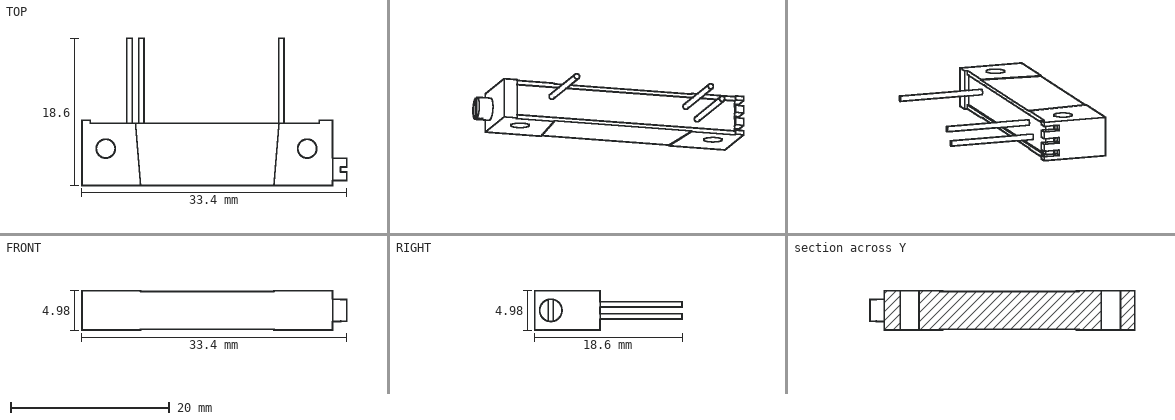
import cadquery as cq


BODY_LENGTH = 31.6
BODY_DEPTH = 7.85
BODY_THICKNESS = 4.98

WAIST_RELIEF = 0.09
WAIST_LEFT_FRONT = 7.4
WAIST_RIGHT_FRONT = 24.2
WAIST_FLARE = 0.65

FOOT_HEIGHT = 0.4
LEFT_FOOT_WIDTH = 1.05
RIGHT_FOOT_WIDTH = 1.7
FOOT_TOP = BODY_DEPTH + FOOT_HEIGHT

HOLE_DIAMETER = 2.35
HOLE_SPACING = 25.4
FIRST_HOLE_X = 3.0
HOLE_Y = 4.65

SLOT_COUNT = 3
SLOT_PITCH = 1.61
SLOT_HEIGHT = 0.7
SLOT_LENGTH = 2.05
NUB_LENGTH = 0.35
NUB_PROJECTION = 0.3
NUB_RADIUS = 0.22

RECESS_DEPTH = 0.2
RECESS_HEIGHT = (SLOT_COUNT - 1) * SLOT_PITCH + SLOT_HEIGHT

PIN_DIAMETER = 0.7
PIN_TIP = 18.57
PIN_OFFSET = 0.76
PIN_POSITIONS = [(6.0, -PIN_OFFSET), (7.5, PIN_OFFSET), (25.15, PIN_OFFSET)]

SCREW_DIAMETER = 2.82
SCREW_TIP = 33.4
SCREW_Y = 2.03
DRIVER_SLOT_WIDTH = 0.6
DRIVER_SLOT_DEPTH = 0.8


def box_between(x_range, y_range, height, z_middle=0):
    """Box spanning the given X and Y ranges, centred on z_middle."""
    x_min, x_max = x_range
    y_min, y_max = y_range
    box = cq.Workplane("XY").box(x_max - x_min, y_max - y_min, height, centered=(False, False, True))
    return box.translate((x_min, y_min, z_middle))


def make_body():
    """Side outline with the two feet, extruded to the full thickness."""
    return (
        cq.Workplane("XY")
        .moveTo(0, 0)
        .lineTo(BODY_LENGTH, 0)
        .lineTo(BODY_LENGTH, FOOT_TOP)
        .lineTo(BODY_LENGTH - RIGHT_FOOT_WIDTH, FOOT_TOP)
        .lineTo(BODY_LENGTH - RIGHT_FOOT_WIDTH, BODY_DEPTH)
        .lineTo(LEFT_FOOT_WIDTH, BODY_DEPTH)
        .lineTo(LEFT_FOOT_WIDTH, FOOT_TOP)
        .lineTo(0, FOOT_TOP)
        .close()
        .extrude(BODY_THICKNESS / 2, both=True)
    )


def make_waist_relief():
    """Thin slabs that lower the middle of both broad faces."""
    outline = [
        (WAIST_LEFT_FRONT, 0),
        (WAIST_RIGHT_FRONT, 0),
        (WAIST_RIGHT_FRONT + WAIST_FLARE, BODY_DEPTH),
        (WAIST_LEFT_FRONT - WAIST_FLARE, BODY_DEPTH),
    ]
    upper = (
        cq.Workplane("XY")
        .workplane(offset=BODY_THICKNESS / 2 - WAIST_RELIEF)
        .polyline(outline)
        .close()
        .extrude(WAIST_RELIEF)
    )
    return upper.union(upper.mirror("XY"))


def make_mounting_holes():
    """Two cylinders through the full thickness."""
    return (
        cq.Workplane("XY")
        .pushPoints([(FIRST_HOLE_X, HOLE_Y), (FIRST_HOLE_X + HOLE_SPACING, HOLE_Y)])
        .circle(HOLE_DIAMETER / 2)
        .extrude(BODY_THICKNESS, both=True)
    )


def make_recess():
    """Pocket sunk into the pin side from foot to foot."""
    x_range = (LEFT_FOOT_WIDTH, BODY_LENGTH - RIGHT_FOOT_WIDTH)
    return box_between(x_range, (BODY_DEPTH - RECESS_DEPTH, BODY_DEPTH), RECESS_HEIGHT)


def make_end_slot(z_middle):
    """One end-wall slot, less the nub left standing at its closed end."""
    slot_bottom = FOOT_TOP - SLOT_LENGTH
    slot = box_between((0, LEFT_FOOT_WIDTH), (slot_bottom, FOOT_TOP), SLOT_HEIGHT, z_middle)
    nub = box_between(
        (LEFT_FOOT_WIDTH - NUB_PROJECTION, LEFT_FOOT_WIDTH),
        (slot_bottom, slot_bottom + NUB_LENGTH),
        SLOT_HEIGHT,
        z_middle,
    )
    return slot.cut(nub.edges("<X and |Y").fillet(NUB_RADIUS))


def make_pin(x, z):
    """Round pin standing on the recess floor."""
    floor = BODY_DEPTH - RECESS_DEPTH
    base = cq.Vector(x, floor, z)
    return cq.Workplane(cq.Solid.makeCylinder(PIN_DIAMETER / 2, PIN_TIP - floor, base, cq.Vector(0, 1, 0)))


def make_screw():
    """Screw head on the right end with a driver slot across its tip."""
    base = cq.Vector(BODY_LENGTH, SCREW_Y, 0)
    head = cq.Solid.makeCylinder(SCREW_DIAMETER / 2, SCREW_TIP - BODY_LENGTH, base, cq.Vector(1, 0, 0))
    driver_slot = box_between(
        (SCREW_TIP - DRIVER_SLOT_DEPTH, SCREW_TIP),
        (SCREW_Y - DRIVER_SLOT_WIDTH / 2, SCREW_Y + DRIVER_SLOT_WIDTH / 2),
        SCREW_DIAMETER,
    )
    return cq.Workplane(head).cut(driver_slot)


result = make_body().cut(make_waist_relief()).cut(make_mounting_holes()).cut(make_recess())

for index in range(SLOT_COUNT):
    slot_z = (index - (SLOT_COUNT - 1) / 2) * SLOT_PITCH
    result = result.cut(make_end_slot(slot_z))

for pin_x, pin_z in PIN_POSITIONS:
    result = result.union(make_pin(pin_x, pin_z))

result = result.union(make_screw())